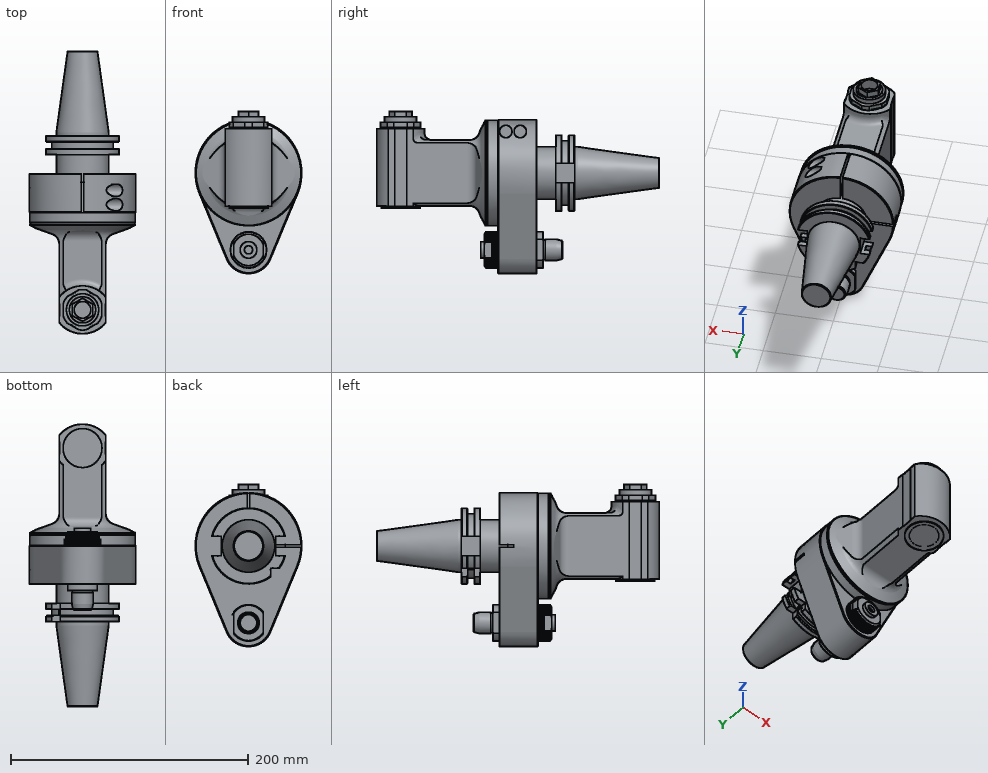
import cadquery as cq
import math


ring_radius = 44.97
ring_length = 33.0
ring_chamfer = 0.7
lip_length = 7.2
slot_width = 2.1
side_slit_length = 12.2
arm_radius = 20.0
arm_drop = 65.0
screw_hole_diameter = 10.5
screw_hole_height = 34.95
screw_hole_seat = 16.7
screw_hole_places = (18.8, 6.7)

shank_diameter = 44.4
taper_length = 68.5
taper_tip_diameter = 25.5
taper_end_chamfer = 0.7
shank_rear = 136.2
flange_diameter = 64.2
flange_rear = 64.6
flange_width = 15.7
flange_bevel = 1.2
flange_edge_break = 0.5
gripper_groove_diameter = 54.6
gripper_groove_rear = 59.2
gripper_groove_front = 54.0
key_notch_width = 16.7
key_notch_floor = 23.0
side_pocket_top = -18.5
side_pocket_floor = 18.5

spigot_radius = 31.0
disc_radius = 44.5
disc_width = 8.3
disc_groove_width = 1.5
disc_groove_depth = 0.5
cone_start = -10.5
cone_end = -17.0
neck_radius = 32.2
cone_fillet = 7.6
neck_half_width = 19.8
neck_half_height = 28.0
side_flat_corner = -20.4
top_flat_corner = -18.0
flat_fillet = 8.47
flat_tilt = 20.0

spindle_y = -82.0
pillar_half_length = 20.3
pillar_corner = 10.62
pillar_top = 37.5
pillar_fillet = 5.7
pillar_groove_width = 10.0
pillar_groove_depth = 0.35
cap_gap = 1.0
cap_thickness = 1.0
cap_neck_diameter = 25.0
cap_diameter = 33.0

collar_flats = 32.2
collar_diameter = 34.0
collar_height = 5.5
collar_foot_diameter = 31.0
collar_foot_height = 1.0
nose_diameter = 27.2
nose_height = 4.5
nose_recess_diameter = 22.2
nose_recess_depth = 1.2
hex_flats = 17.0
hex_height = 4.5
socket_diameter = 14.0
socket_depth = 9.5

pin_diameter = 18.1
pin_tip_diameter = 16.0
pin_rear = 54.6
pin_tip_chamfer = 1.0
pin_tip_length = 5.2
undercut_diameter = 17.0
undercut_width = 2.0
pin_collar_diameter = 30.8
pin_collar_width = 5.2
pin_collar_chamfer = 0.5
pin_flats = 25.0
knob_length = 11.5
knob_chamfer = 2.1
knob_chamfer_length = 1.5
knob_flat_length = 6.5
knob_flat_height = 13.0
knurl_count = 72
knurl_depth = 0.5
pin_head_diameter = 14.0
pin_head_length = 3.0
pin_socket_diameter = 7.0
pin_socket_depth = 2.5


def turned(profile):
    """Solid of revolution about the Y axis from (radius, y) points."""
    return cq.Workplane("XY").polyline(profile).close().revolve(360, (0, 0), (0, 1))


def cylinder_along_y(diameter, y_start, y_end):
    return (
        cq.Workplane("XZ", origin=(0, y_start, 0))
        .circle(diameter / 2)
        .extrude(y_start - y_end)
    )


def block(x_range, y_range, z_range):
    lows, highs = zip(x_range, y_range, z_range)
    sizes = [high - low for low, high in zip(lows, highs)]
    return cq.Workplane("XY").box(*sizes, centered=False).translate(lows)


def make_shank():
    shank_radius = shank_diameter / 2
    taper_end = shank_rear - taper_length
    tip_radius = taper_tip_diameter / 2
    flange_radius = flange_diameter / 2
    groove_radius = gripper_groove_diameter / 2
    flange_front = flange_rear - flange_width
    shank = turned([
        (0, shank_rear),
        (tip_radius - taper_end_chamfer, shank_rear),
        (tip_radius, shank_rear - taper_end_chamfer),
        (shank_radius, taper_end),
        (shank_radius, flange_rear),
        (flange_radius - flange_edge_break, flange_rear),
        (flange_radius, flange_rear - flange_edge_break),
        (flange_radius, gripper_groove_rear + flange_bevel),
        (flange_radius - flange_bevel, gripper_groove_rear),
        (groove_radius, gripper_groove_rear),
        (groove_radius, gripper_groove_front),
        (flange_radius - flange_edge_break, gripper_groove_front),
        (flange_radius, gripper_groove_front - flange_edge_break),
        (flange_radius, flange_front),
        (shank_radius, flange_front),
        (shank_radius, ring_length - lip_length),
        (0, ring_length - lip_length),
    ])
    flange_span = (flange_front, flange_rear)
    key_span = (-key_notch_width / 2, key_notch_width / 2)
    for notch_span in ((key_notch_floor, flange_radius), (-flange_radius, -key_notch_floor)):
        shank = shank.cut(block(notch_span, flange_span, key_span))
    pocket = block((-flange_radius, -side_pocket_floor), flange_span, (-flange_radius, side_pocket_top))
    pocket = pocket.cut(cylinder_along_y(shank_diameter, flange_rear, flange_front))
    return shank.cut(pocket)


def make_ring():
    lean = math.asin((ring_radius - arm_radius) / arm_drop)
    side_x, side_z = math.cos(lean), math.sin(lean)
    ring = (
        cq.Workplane("XZ")
        .moveTo(-ring_radius * side_x, -ring_radius * side_z)
        .threePointArc((0, ring_radius), (ring_radius * side_x, -ring_radius * side_z))
        .lineTo(arm_radius * side_x, -arm_drop - arm_radius * side_z)
        .threePointArc(
            (0, -arm_drop - arm_radius),
            (-arm_radius * side_x, -arm_drop - arm_radius * side_z),
        )
        .close()
        .extrude(-ring_length)
        .faces("|Y")
        .chamfer(ring_chamfer)
    )
    lip_front = ring_length - lip_length
    ring = ring.cut(cylinder_along_y(shank_diameter, ring_length, 0))
    ring = ring.cut(cylinder_along_y(2 * spigot_radius, lip_front, 0))
    ring = ring.cut(cylinder_along_y(pin_diameter, ring_length, 0).translate((0, 0, -arm_drop)))

    slot_span = (-slot_width / 2, slot_width / 2)
    ring = ring.cut(block(slot_span, (0, ring_length), (0, ring_radius)))
    slit_span = (ring_length - side_slit_length, ring_length)
    ring = ring.cut(block((-ring_radius, 0), slit_span, slot_span))

    for hole_y in screw_hole_places:
        hole = (
            cq.Workplane("YZ", origin=(screw_hole_seat, hole_y, screw_hole_height))
            .circle(screw_hole_diameter / 2)
            .extrude(ring_radius)
        )
        ring = ring.cut(hole)
    return ring


def neck_flat_cutter(half_size, flat_corner):
    """Cuts a flat at x = half_size that sweeps out through a fillet into a tilted shoulder."""
    reach = 2 * ring_radius
    shoulder_y = flat_corner + (reach - half_size) * math.tan(math.radians(flat_tilt))
    return (
        cq.Workplane("XY", origin=(0, 0, -reach))
        .polyline([
            (half_size, spindle_y),
            (half_size, flat_corner),
            (reach, shoulder_y),
            (reach, spindle_y),
        ])
        .close()
        .extrude(2 * reach)
        .edges(cq.selectors.NearestToPointSelector((half_size, flat_corner, 0)))
        .fillet(flat_fillet)
    )


def make_neck():
    groove_radius = disc_radius - disc_groove_depth
    groove_front = -disc_width - disc_groove_width
    neck = turned([
        (0, ring_length - lip_length),
        (spigot_radius, ring_length - lip_length),
        (spigot_radius, 0),
        (disc_radius, 0),
        (disc_radius, -disc_width),
        (groove_radius, -disc_width),
        (groove_radius, groove_front),
        (disc_radius, groove_front),
        (disc_radius, cone_start),
        (neck_radius, cone_end),
        (neck_radius, spindle_y),
        (0, spindle_y),
    ])
    neck = neck.edges(cq.selectors.NearestToPointSelector((0, cone_end, 0))).fillet(cone_fillet)
    side_cutter = neck_flat_cutter(neck_half_width, side_flat_corner)
    top_cutter = neck_flat_cutter(neck_half_height, top_flat_corner).rotate((0, 0, 0), (0, 1, 0), 90)
    for cutter in (side_cutter, top_cutter):
        neck = neck.cut(cutter)
        neck = neck.cut(cutter.rotate((0, 0, 0), (0, 1, 0), 180))
    return neck


def make_pillar():
    return (
        cq.Workplane("XY", origin=(0, spindle_y, -neck_half_height))
        .moveTo(-neck_half_width, -pillar_corner)
        .threePointArc((0, -pillar_half_length), (neck_half_width, -pillar_corner))
        .lineTo(neck_half_width, pillar_corner)
        .threePointArc((0, pillar_half_length), (-neck_half_width, pillar_corner))
        .close()
        .extrude(neck_half_height + pillar_top)
    )


def on_spindle(z):
    return cq.Workplane("XY", origin=(0, spindle_y, z))


def hexagon(z, flats, height):
    """Hexagonal prism on the spindle axis with two corners on the Y direction."""
    corners = flats / math.cos(math.pi / 6)
    return on_spindle(z).transformed(rotate=(0, 0, 90)).polygon(6, corners).extrude(height)


def make_spindle_nose():
    nose_base = pillar_top + collar_height
    nose_top = nose_base + nose_height
    hex_top = nose_top + hex_height
    recess_floor = nose_top - nose_recess_depth
    collar = on_spindle(pillar_top).circle(collar_diameter / 2).extrude(collar_height)
    collar = collar.intersect(hexagon(pillar_top + collar_foot_height, collar_flats, collar_height))
    foot = on_spindle(pillar_top).circle(collar_foot_diameter / 2).extrude(collar_foot_height)
    nose = on_spindle(nose_base).circle(nose_diameter / 2).extrude(nose_height)
    recess = on_spindle(recess_floor).circle(nose_recess_diameter / 2).extrude(nose_recess_depth)
    hex_end = hexagon(recess_floor, hex_flats, hex_top - recess_floor)
    socket = on_spindle(hex_top).circle(socket_diameter / 2).extrude(-socket_depth)
    return foot.union(collar).union(nose).cut(recess).union(hex_end).cut(socket)


def make_bottom_cap():
    neck = on_spindle(-neck_half_height).circle(cap_neck_diameter / 2).extrude(-cap_gap)
    cap = on_spindle(-neck_half_height - cap_gap).circle(cap_diameter / 2).extrude(-cap_thickness)
    return neck.union(cap)


def make_head():
    head = make_neck().union(make_pillar())
    corner = cq.selectors.BoxSelector(
        (-neck_half_width - 0.2, spindle_y + pillar_corner - 0.2, neck_half_height - 3.5),
        (neck_half_width + 0.2, spindle_y + pillar_half_length + 0.2, neck_half_height + 0.2),
        boundingbox=True,
    )
    head = head.edges(corner).fillet(pillar_fillet)

    groove_span = (spindle_y - pillar_groove_width / 2, spindle_y + pillar_groove_width / 2)
    groove_floor = neck_half_width - pillar_groove_depth
    height_span = (-neck_half_height, pillar_top)
    for side_span in ((groove_floor, neck_half_width), (-neck_half_width, -groove_floor)):
        head = head.cut(block(side_span, groove_span, height_span))
    return head.union(make_spindle_nose()).union(make_bottom_cap())


def make_knurl():
    """Knurled band of the front knob: teeth run along its axis."""
    outer_radius = pin_collar_diameter / 2
    radii = (outer_radius, outer_radius - knurl_depth)
    outline = []
    for step in range(2 * knurl_count):
        angle = math.pi * step / knurl_count
        radius = radii[step % 2]
        outline.append((radius * math.cos(angle), radius * math.sin(angle)))
    return cq.Workplane("XZ").polyline(outline).close().extrude(knob_length)


def make_stop_pin():
    pin_radius = pin_diameter / 2
    collar_radius = pin_collar_diameter / 2
    collar_rear = ring_length + pin_collar_width
    undercut_rear = collar_rear + undercut_width
    head_front = -knob_length - pin_head_length
    pin = turned([
        (0, pin_rear),
        (pin_tip_diameter / 2 - pin_tip_chamfer, pin_rear),
        (pin_tip_diameter / 2, pin_rear - pin_tip_chamfer),
        (pin_radius, pin_rear - pin_tip_length),
        (pin_radius, undercut_rear),
        (undercut_diameter / 2, undercut_rear),
        (undercut_diameter / 2, collar_rear),
        (collar_radius - pin_collar_chamfer, collar_rear),
        (collar_radius, collar_rear - pin_collar_chamfer),
        (collar_radius, ring_length),
        (pin_radius, ring_length),
        (pin_radius, 0),
        (pin_head_diameter / 2, 0),
        (pin_head_diameter / 2, head_front),
        (0, head_front),
    ])
    knob_envelope = turned([
        (0, 0),
        (collar_radius, 0),
        (collar_radius, knob_chamfer_length - knob_length),
        (collar_radius - knob_chamfer, -knob_length),
        (0, -knob_length),
    ])
    pin = pin.union(make_knurl().intersect(knob_envelope))
    pin = pin.cut(cylinder_along_y(pin_socket_diameter, head_front + pin_socket_depth, head_front))

    collar_span = (-collar_radius, collar_radius)
    knob_flat_span = (-knob_flat_height / 2, knob_flat_height / 2)
    knob_front = (-knob_length, knob_flat_length - knob_length)
    for flat_span in ((pin_flats / 2, collar_radius), (-collar_radius, -pin_flats / 2)):
        pin = pin.cut(block(flat_span, (ring_length, collar_rear), collar_span))
        pin = pin.cut(block(flat_span, knob_front, knob_flat_span))
    return pin.translate((0, 0, -arm_drop))


shank = make_shank()
clamp_ring = make_ring()
head = make_head()
stop_pin = make_stop_pin()

result = cq.Compound.makeCompound([shank.val(), clamp_ring.val(), head.val(), stop_pin.val()])